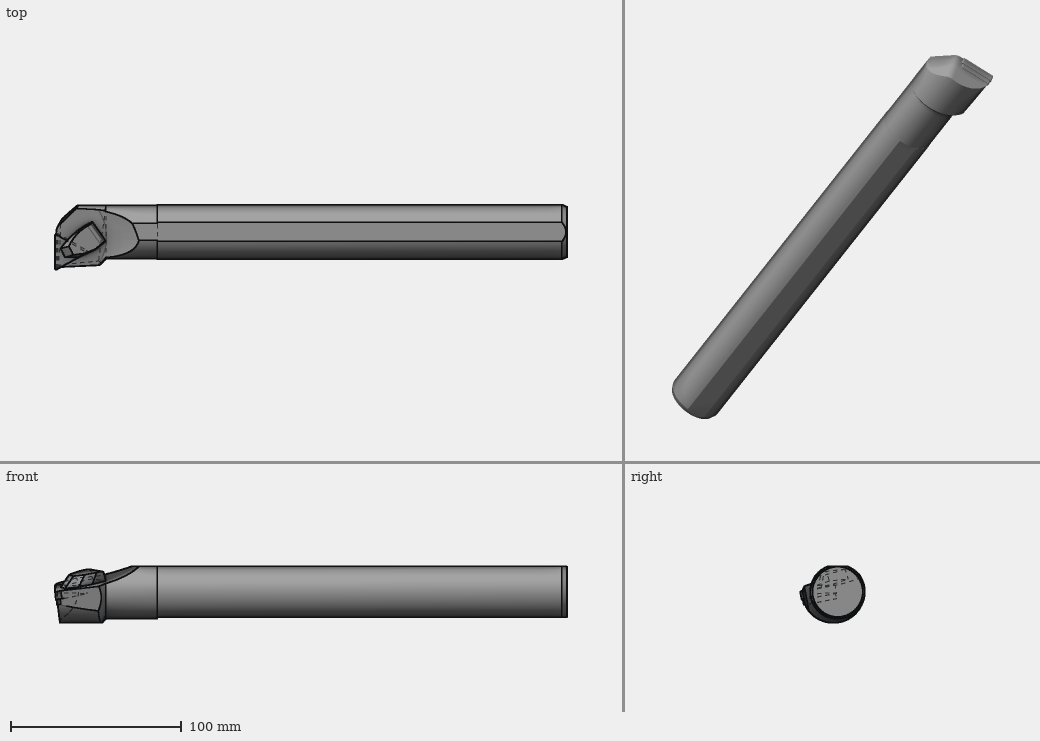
import cadquery as cq
import math


total_length = 300.0
shank_radius = 16.0
flat_height = 15.0
shank_start = 60.0
end_chamfer_length = 3.0
end_chamfer_depth = 1.3
neck_radius = 15.8
neck_start = 29.9

head_radius = 18.22
head_axis_y = -2.5
head_side_margin = 10.0

tip_y = -22.0
rake_slope_x = math.tan(math.radians(6.0))
rake_slope_y = math.tan(math.radians(11.0))

front_setback = 0.8
flank_start = 1.3
flank_rise = 1.6
flank_length = 24.0
back_corner_v = 22.6
back_corner_radius = 5.5
outline_far_u = 60.0
outline_far_v = 60.0
head_depth = 50.0

runout_axis = (0.5, 20.0)
runout_inner_radius = 29.8
runout_ramp_radius = 64.0
runout_entry_angle = 8.5
runout_exit_angle = 34.0
runout_height = 40.0

insert_side = 22.0
insert_thickness = 4.76
insert_nose_radius = 0.8
seat_thickness = 3.18
seat_inset = 0.4

clamp_height = 6.2
clamp_back_fillet = 2.0
clamp_foot = [(22.0, 29.0), (29.8, 17.8), (22.0, 11.4), (14.2, 7.7), (6.0, 7.3), (3.4, 12.6)]
clamp_top = [(21.5, 28.4), (29.2, 17.6), (25.2, 14.2), (18.2, 11.2), (11.5, 10.2), (8.9, 15.2)]
clamp_foot_bow = (10.3, 20.7)
clamp_top_bow = (14.2, 23.2)

rake_v = cq.Vector(0, 1, rake_slope_y).normalized()
rake_w = cq.Vector(-rake_slope_x, -rake_slope_y, 1).normalized()
rake_u = rake_v.cross(rake_w)
rake_plane = cq.Plane(origin=(0, tip_y, 0), xDir=rake_u, normal=rake_w)


def x_cylinder(radius, start, length, axis_y=0.0):
    return cq.Workplane("YZ", origin=(start, axis_y, 0)).circle(radius).extrude(length)


def flat_cutter(side):
    """Block that trims a flat on the top (side = 1) or the bottom (side = -1)."""
    centre_z = side * (flat_height + shank_radius)
    block = cq.Workplane("XY", origin=(0, 0, centre_z))
    return block.box(2 * total_length, 4 * shank_radius, 2 * shank_radius)


def make_shank():
    shank = x_cylinder(shank_radius, shank_start, total_length - shank_start)
    shank = shank.faces(">X").edges().chamfer(end_chamfer_length, end_chamfer_depth)
    return shank.cut(flat_cutter(1)).cut(flat_cutter(-1))


def make_neck():
    return x_cylinder(neck_radius, neck_start, shank_start - neck_start).cut(flat_cutter(1))


def make_head():
    """Eccentric cylinder, coned at 45 degrees down to the neck and trimmed by the head outline."""
    cone_reach = neck_start + head_side_margin
    envelope = (
        cq.Workplane("XY")
        .moveTo(-head_side_margin, 0)
        .lineTo(-head_side_margin, neck_radius + cone_reach)
        .lineTo(neck_start, neck_radius)
        .lineTo(neck_start, 0)
        .close()
        .revolve(360, (0, 0, 0), (1, 0, 0))
    )
    blank = x_cylinder(head_radius, -head_side_margin, cone_reach, head_axis_y)
    return blank.intersect(envelope).intersect(head_outline())


def head_outline():
    """Prism square to the rake plane: front face, rounded 45 degree back corner and tapering flank."""
    diagonal = math.sqrt(0.5)
    half_turn = math.radians(45 / 2)
    arc_centre_u = front_setback + back_corner_radius
    arc_end_u = arc_centre_u - back_corner_radius * diagonal
    arc_end_v = back_corner_v + back_corner_radius * diagonal
    arc_middle = (
        arc_centre_u - back_corner_radius * math.cos(half_turn),
        back_corner_v + back_corner_radius * math.sin(half_turn),
    )
    chamfer_run = outline_far_v - arc_end_v
    return (
        cq.Workplane(rake_plane)
        .moveTo(front_setback, flank_start)
        .lineTo(front_setback, back_corner_v)
        .threePointArc(arc_middle, (arc_end_u, arc_end_v))
        .lineTo(arc_end_u + chamfer_run, outline_far_v)
        .lineTo(outline_far_u, outline_far_v)
        .lineTo(outline_far_u, flank_start + flank_rise * outline_far_u / flank_length)
        .close()
        .extrude(head_depth, both=True)
    )


def make_runout_cutter():
    """Everything above the rake plane and the dished ramp behind it."""
    def ramp_point(angle):
        start = math.radians(runout_entry_angle)
        turn = math.radians(angle)
        radius = runout_inner_radius + runout_ramp_radius * (math.sin(turn) - math.sin(start))
        height = runout_ramp_radius * (math.cos(start) - math.cos(turn))
        return (radius, height)

    middle_angle = (runout_entry_angle + runout_exit_angle) / 2
    outer_radius, outer_height = ramp_point(runout_exit_angle)
    axis_foot = rake_plane.toWorldCoords((*runout_axis, 0))
    section_plane = cq.Plane(origin=axis_foot, xDir=rake_u, normal=rake_v * -1)
    return (
        cq.Workplane(section_plane)
        .lineTo(runout_inner_radius, 0)
        .threePointArc(ramp_point(middle_angle), (outer_radius, outer_height))
        .lineTo(outer_radius, runout_height)
        .lineTo(0, runout_height)
        .close()
        .revolve(360, (0, 0, 0), (0, 1, 0))
    )


def triangle_plate(inset, top, thickness):
    """Equilateral plate with rounded corners, one edge along v; `inset` shrinks it all round."""
    nose_overrun = insert_nose_radius * (math.sqrt(3) - 1)
    side = insert_side - 2 * math.sqrt(3) * inset
    low_v = math.sqrt(3) * inset - nose_overrun
    corners = [
        (inset, low_v),
        (inset + side * math.sqrt(3) / 2, low_v + side / 2),
        (inset, low_v + side),
    ]
    return (
        cq.Workplane(rake_plane)
        .workplane(offset=top - thickness)
        .polyline(corners)
        .close()
        .extrude(thickness)
        .edges(cq.selectors.ParallelDirSelector(rake_w))
        .fillet(insert_nose_radius)
    )


def clamp_outline(sketch, corners, bow):
    return sketch.polyline(corners).threePointArc(bow, corners[0]).close()


def make_clamp():
    """Block with a sloping nose, blended by ruled faces from its foot on the rake plane to its top."""
    foot = clamp_outline(cq.Workplane(rake_plane), clamp_foot, clamp_foot_bow)
    body = clamp_outline(foot.workplane(offset=clamp_height), clamp_top, clamp_top_bow).loft(ruled=True)
    back_middle_u = (clamp_top[0][0] + clamp_top[1][0]) / 2
    back_middle_v = (clamp_top[0][1] + clamp_top[1][1]) / 2
    back_middle = rake_plane.toWorldCoords((back_middle_u, back_middle_v, clamp_height))
    back_top_edge = cq.selectors.NearestToPointSelector(back_middle.toTuple())
    return body.edges(back_top_edge).fillet(clamp_back_fillet)


insert = triangle_plate(0, 0, insert_thickness)
seat = triangle_plate(seat_inset, -insert_thickness, seat_thickness)

bar = make_head().union(make_neck()).union(make_shank())
holder = bar.cut(make_runout_cutter()).union(seat).cut(insert).union(make_clamp())

result = cq.Compound.makeCompound([holder.val(), insert.val()])